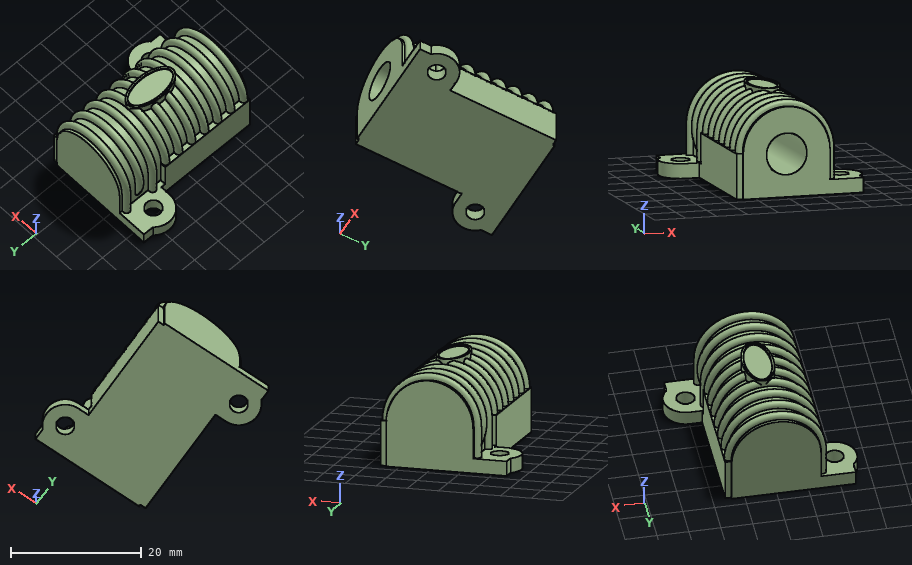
import cadquery as cq
import math

length = 27.0
body_half_width = 7.0
arch_height = 7.15
bore_diameter = 6.5
bore_height = 6.75
bore_end_wall = 3.5

rib_count = 10
rib_pitch = 2.75
rib_offset = -0.05
rib_width = 1.27
rib_outer_radius = 7.96
rib_root_depth = 0.4
rib_tail_angle = 40.0

block_half_width = 8.0
block_inset = 0.32
block_end = 4.8

tab_thickness = 2.35
tab_radius = 3.5
tab_hole_diameter = 2.84
tab_hole_x = 9.9
tab_hole_y = 9.1
tab_corner_x = 12.42

badge_top = 15.4
badge_base = 12.15
badge_x = 0.35
badge_half_width = 2.45
badge_half_length = 4.75
badge_rim = 0.38
badge_recess = 0.22

half_length = length / 2
rib_root_radius = body_half_width - rib_root_depth
rib_shoulder_radius = rib_outer_radius - rib_width / 2
rib_positions = [rib_offset + (i - (rib_count - 1) / 2) * rib_pitch for i in range(rib_count)]
right_outer_rib_y, right_hole_rib_y, right_inner_rib_y = rib_positions[:3]
left_inner_rib_y, left_hole_rib_y, left_outer_rib_y = rib_positions[-3:]


def box(x_min, x_max, y_min, y_max, z_max):
    """Box standing on the base plane."""
    return cq.Workplane("XY").box(
        x_max - x_min, y_max - y_min, z_max, centered=False
    ).translate((x_min, y_min, 0))


def make_body():
    return (
        cq.Workplane("XZ", origin=(0, half_length, 0))
        .moveTo(-body_half_width, 0)
        .lineTo(-body_half_width, arch_height)
        .threePointArc((0, arch_height + body_half_width), (body_half_width, arch_height))
        .lineTo(body_half_width, 0)
        .close()
        .extrude(length)
    )


def rib_profile(workplane):
    """Flat-sided rib section with a round crest, pointing toward -X."""
    half_width = rib_width / 2
    return (
        workplane.moveTo(-rib_root_radius, -half_width)
        .lineTo(-rib_shoulder_radius, -half_width)
        .threePointArc((-rib_outer_radius, 0), (-rib_shoulder_radius, half_width))
        .lineTo(-rib_root_radius, half_width)
        .close()
    )


def make_arch_rib(y):
    """Half ring over the crown; beside a tab hole it runs on past the spring line into the flank."""
    left_tail = rib_tail_angle if y == left_hole_rib_y else 0
    right_tail = rib_tail_angle if y == right_hole_rib_y else 0
    axis_start = (0, y, arch_height)
    axis_end = (0, y + 0.27, arch_height)
    profile = rib_profile(cq.Workplane("XY", origin=axis_start))
    ring = profile.revolve(180 + left_tail + right_tail, (0, 0, 0), (0, 1, 0))
    return ring.rotate(axis_start, axis_end, -left_tail)


def make_straight_rib(y):
    """Upright rib from the left tab to the spring line."""
    return rib_profile(cq.Workplane("XY", origin=(0, y, 0))).extrude(arch_height)


def half_turn(shape):
    """Move a left-hand shape to the opposite corner."""
    return shape.rotate((0, 0, 0), (0, 0, 1), 180)


def make_left_flank():
    """Side block and drilled tab of the left flank."""
    block = box(-block_half_width, -rib_root_radius, block_inset - half_length, block_end, arch_height)

    corner_drop = math.sqrt(tab_radius**2 - (tab_corner_x - tab_hole_x) ** 2)
    tab = (
        cq.Workplane("XY")
        .moveTo(-rib_root_radius, half_length)
        .lineTo(-tab_corner_x, half_length)
        .lineTo(-tab_corner_x, tab_hole_y + corner_drop)
        .threePointArc((-tab_hole_x - tab_radius, tab_hole_y), (-tab_hole_x, tab_hole_y - tab_radius))
        .lineTo(-rib_root_radius, tab_hole_y - tab_radius)
        .close()
        .extrude(tab_thickness)
    )
    tab_strip = box(-block_half_width, -rib_root_radius, block_end, half_length, tab_thickness)
    flank = block.union(tab).union(tab_strip)

    hole = (
        cq.Workplane("XY")
        .center(-tab_hole_x, tab_hole_y)
        .circle(tab_hole_diameter / 2)
        .extrude(tab_thickness)
    )
    return flank.cut(hole)


def make_badge():
    badge = (
        cq.Workplane("XY", origin=(badge_x, 0, badge_base))
        .ellipse(badge_half_width, badge_half_length)
        .extrude(badge_top - badge_base)
    )
    recess = (
        cq.Workplane("XY", origin=(badge_x, 0, badge_top - badge_recess))
        .ellipse(badge_half_width - badge_rim, badge_half_length - badge_rim)
        .extrude(badge_recess)
    )
    return badge.cut(recess)


def make_bore():
    return (
        cq.Workplane("XZ", origin=(0, half_length - bore_end_wall, bore_height))
        .circle(bore_diameter / 2)
        .extrude(length - bore_end_wall)
    )


result = make_body()
for rib_y in rib_positions:
    result = result.union(make_arch_rib(rib_y))

left_flank = make_left_flank()
result = result.union(left_flank).union(half_turn(left_flank))

for rib_y in (left_inner_rib_y, left_outer_rib_y):
    result = result.union(make_straight_rib(rib_y))
for rib_y in (right_inner_rib_y, right_outer_rib_y):
    result = result.union(half_turn(make_straight_rib(-rib_y)))

result = result.union(make_badge()).cut(make_bore())